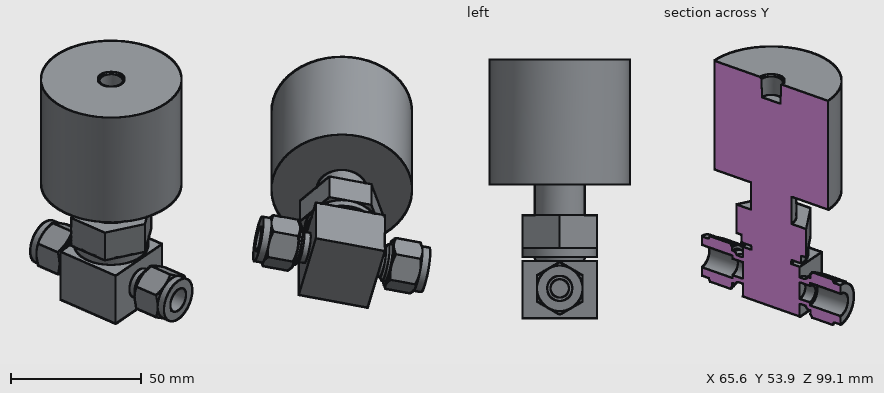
import cadquery as cq
import math

total_height = 99.1
actuator_diameter = 53.9
actuator_bottom = 51.2

port_mouth_diameter = 10.3
port_diameter = 9.0
port_floor_diameter = 8.5
port_countersink_depth = 0.7
port_diameter_taper = 1 / 16
port_depth = port_countersink_depth + (port_diameter - port_floor_diameter) / port_diameter_taper

stem_diameter = 19.3
bonnet_nut_flats = 28.5
bonnet_nut_bottom = 26.8
bonnet_nut_top = 39.5
flange_diameter = bonnet_nut_flats
flange_bottom = 23.5
neck_bottom_diameter = 18.8

block_length = 27.1
block_width = bonnet_nut_flats
block_height = 22.0

fitting_height = 11.5
fitting_end = 32.8
fitting_nut_outer = 29.8
fitting_nut_inner = 18.3
fitting_nut_flats = 17.4
fitting_nut_chamfer_angle = 30.0
fitting_nut_face_diameter = 17.0
fitting_sleeve_diameter = fitting_nut_flats
collar_diameter = 14.5
collar_cone_start = 17.1
collar_cone_end = 16.0
pipe_diameter = 11.8

socket_diameter = 9.6
passage_diameter = 7.0
socket_floor = fitting_nut_inner
passage_floor = block_length / 2


def across_corners(flats):
    """Corner-to-corner size of a hexagon with the given distance across flats."""
    return flats / math.cos(math.radians(30))


def upright_cylinder(diameter, bottom, top):
    """Cylinder on the Z axis between two heights."""
    return cq.Workplane("XY").workplane(offset=bottom).circle(diameter / 2).extrude(top - bottom)


def turned_upright(profile):
    """Revolve (radius, height) points about the Z axis."""
    return cq.Workplane("XZ").polyline(profile).close().revolve(360, (0, 0, 0), (0, 1, 0))


def make_actuator():
    """Large cylinder with a tapered blind port in its top face."""
    cylinder = upright_cylinder(actuator_diameter, actuator_bottom, total_height)
    port = turned_upright([
        (0, total_height),
        (port_mouth_diameter / 2, total_height),
        (port_diameter / 2, total_height - port_countersink_depth),
        (port_floor_diameter / 2, total_height - port_depth),
        (0, total_height - port_depth),
    ])
    return cylinder.cut(port)


def make_bonnet():
    """Tapered neck, round flange, hexagonal nut and stem, stacked upwards."""
    neck = turned_upright([
        (0, block_height),
        (neck_bottom_diameter / 2, block_height),
        (stem_diameter / 2, flange_bottom),
        (0, flange_bottom),
    ])
    flange = upright_cylinder(flange_diameter, flange_bottom, bonnet_nut_bottom)
    nut = (
        cq.Workplane("XY")
        .workplane(offset=bonnet_nut_bottom)
        .polygon(6, across_corners(bonnet_nut_flats))
        .extrude(bonnet_nut_top - bonnet_nut_bottom)
    )
    stem = upright_cylinder(stem_diameter, bonnet_nut_top, actuator_bottom)
    return neck.union(flange).union(nut).union(stem)


def make_block():
    """Rectangular body standing on the Z = 0 plane."""
    return cq.Workplane("XY").box(
        block_length, block_width, block_height, centered=(True, True, False)
    )


def turned_fitting(profile):
    """Revolve (distance along X, radius) points about the fitting axis."""
    return (
        cq.Workplane("XZ")
        .polyline(profile)
        .close()
        .revolve(360, (0, 0, 0), (1, 0, 0))
        .translate((0, 0, fitting_height))
    )


def make_fitting_nut():
    """Hexagonal nut with corners up and down, both ends turned to a cone."""
    face_radius = fitting_nut_face_diameter / 2
    corner_radius = across_corners(fitting_nut_flats) / 2
    envelope_radius = corner_radius + 1
    chamfer_length = (envelope_radius - face_radius) * math.tan(math.radians(fitting_nut_chamfer_angle))
    hexagon = (
        cq.Workplane("YZ")
        .workplane(offset=fitting_nut_inner)
        .center(0, fitting_height)
        .transformed(rotate=(0, 0, 90))
        .polygon(6, 2 * corner_radius)
        .extrude(fitting_nut_outer - fitting_nut_inner)
    )
    envelope = turned_fitting([
        (fitting_nut_inner, 0),
        (fitting_nut_inner, face_radius),
        (fitting_nut_inner + chamfer_length, envelope_radius),
        (fitting_nut_outer - chamfer_length, envelope_radius),
        (fitting_nut_outer, face_radius),
        (fitting_nut_outer, 0),
    ])
    return hexagon.intersect(envelope)


def make_fitting():
    """Tube fitting on the +X side, without its bore."""
    turned_body = turned_fitting([
        (block_length / 2, 0),
        (block_length / 2, pipe_diameter / 2),
        (collar_cone_end, pipe_diameter / 2),
        (collar_cone_start, collar_diameter / 2),
        (fitting_nut_inner, collar_diameter / 2),
        (fitting_nut_inner, fitting_sleeve_diameter / 2),
        (fitting_end, fitting_sleeve_diameter / 2),
        (fitting_end, 0),
    ])
    return turned_body.union(make_fitting_nut())


def make_fitting_bore():
    """Stepped blind bore entering the +X fitting from its outer end."""
    return turned_fitting([
        (passage_floor, 0),
        (passage_floor, passage_diameter / 2),
        (socket_floor, passage_diameter / 2),
        (socket_floor, socket_diameter / 2),
        (fitting_end, socket_diameter / 2),
        (fitting_end, 0),
    ])


fitting = make_fitting().cut(make_fitting_bore())

result = make_block().union(make_bonnet()).union(make_actuator())
for side_angle in (0, 180):
    result = result.union(fitting.rotate((0, 0, 0), (0, 0, 1), side_angle))